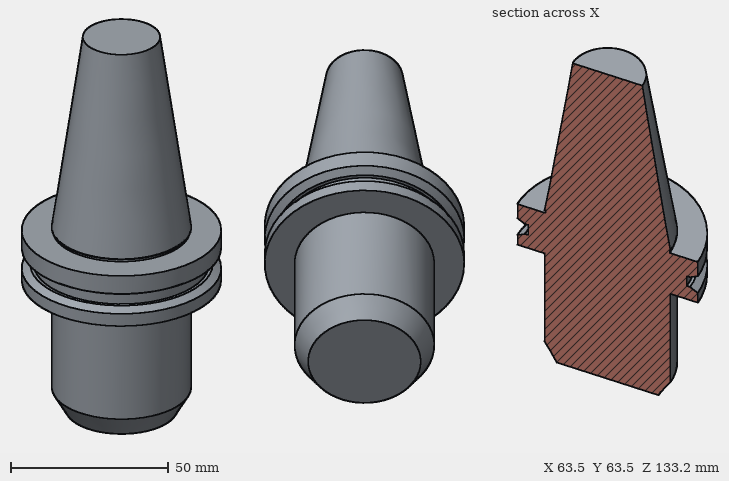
import cadquery as cq
import math

total_height = 133.2
nose_height = 7.6
flange_bottom = 46.0
flange_top = 64.0
taper_bottom = 64.9

nose_diameter = 35.8
body_diameter = 44.5
flange_diameter = 63.5
groove_diameter = 56.0
neck_diameter = 43.8
taper_large_diameter = 44.5
taper_small_diameter = 24.7

lower_rim_height = 4.4
groove_channel_height = 4.1
groove_lip_diameter = 58.2
groove_flare_angle = 30.0
groove_flare_depth = (flange_diameter - groove_lip_diameter) / 2
groove_flare_height = groove_flare_depth * math.tan(math.radians(groove_flare_angle))


def cylinder(diameter, bottom, top):
    """Round section on the Z axis between two levels."""
    return cq.Workplane("XY").workplane(offset=bottom).circle(diameter / 2).extrude(top - bottom)


def cone(bottom_diameter, top_diameter, bottom, top):
    """Tapered section on the Z axis between two levels."""
    return (
        cq.Workplane("XY")
        .workplane(offset=bottom)
        .circle(bottom_diameter / 2)
        .workplane(offset=top - bottom)
        .circle(top_diameter / 2)
        .loft(ruled=True)
    )


nose = cone(nose_diameter, body_diameter, 0, nose_height)
body = cylinder(body_diameter, nose_height, flange_bottom)

groove_bottom = flange_bottom + lower_rim_height
channel_bottom = groove_bottom + groove_flare_height
channel_top = channel_bottom + groove_channel_height
groove_top = channel_top + groove_flare_height

lower_rim = cylinder(flange_diameter, flange_bottom, groove_bottom)
lower_flare = cone(flange_diameter, groove_lip_diameter, groove_bottom, channel_bottom)
groove_core = cylinder(groove_diameter, channel_bottom, channel_top)
upper_flare = cone(groove_lip_diameter, flange_diameter, channel_top, groove_top)
upper_rim = cylinder(flange_diameter, groove_top, flange_top)

neck = cylinder(neck_diameter, flange_top, taper_bottom)
taper = cone(taper_large_diameter, taper_small_diameter, taper_bottom, total_height)

result = nose
for section in (body, lower_rim, lower_flare, groove_core, upper_flare, upper_rim, neck, taper):
    result = result.union(section)